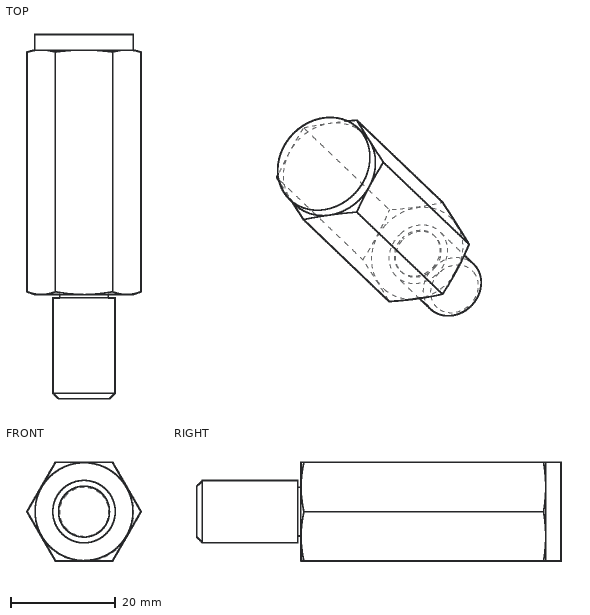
import cadquery as cq
import math

hex_sides = 6
across_flats = 19.0
body_length = 50.0
collar_diameter = across_flats
collar_length = 3.0

stud_diameter = 12.0
stud_length = 20.0
stud_chamfer = 1.1
neck_diameter = 9.4
neck_length = 0.6

front_face_diameter = 18.8
front_bevel_angle = 20.0
rear_bevel_angle = 15.0

hex_length = body_length - collar_length
corner_radius = across_flats / math.sqrt(3)


def revolve_profile(points):
    """Turn a closed (radius, y) outline around the Y axis."""
    return cq.Workplane("XY").polyline(points).close().revolve(360, (0, 0), (0, 1))


def bevel_height(face_diameter, angle):
    """Axial depth of a conical bevel at the hexagon corners."""
    return (corner_radius - face_diameter / 2) * math.tan(math.radians(angle))


def make_hexagon():
    """Hexagonal prism with its flats facing +Z and -Z and both ends bevelled."""
    prism = (
        cq.Workplane("XZ")
        .polygon(hex_sides, 2 * corner_radius)
        .extrude(-hex_length)
    )
    envelope = revolve_profile([
        (0, 0),
        (front_face_diameter / 2, 0),
        (corner_radius, bevel_height(front_face_diameter, front_bevel_angle)),
        (corner_radius, hex_length - bevel_height(collar_diameter, rear_bevel_angle)),
        (collar_diameter / 2, hex_length),
        (0, hex_length),
    ])
    return prism.intersect(envelope)


def make_collar():
    """Plain round collar behind the hexagon."""
    return (
        cq.Workplane("XZ", origin=(0, hex_length, 0))
        .circle(collar_diameter / 2)
        .extrude(-collar_length)
    )


def make_stud():
    """Stud with an undercut neck at its root and a chamfered tip."""
    stud_radius = stud_diameter / 2
    neck_radius = neck_diameter / 2
    return revolve_profile([
        (0, 0),
        (neck_radius, 0),
        (neck_radius, -neck_length),
        (stud_radius, -neck_length),
        (stud_radius, -stud_length + stud_chamfer),
        (stud_radius - stud_chamfer, -stud_length),
        (0, -stud_length),
    ])


result = make_hexagon().union(make_collar()).union(make_stud())